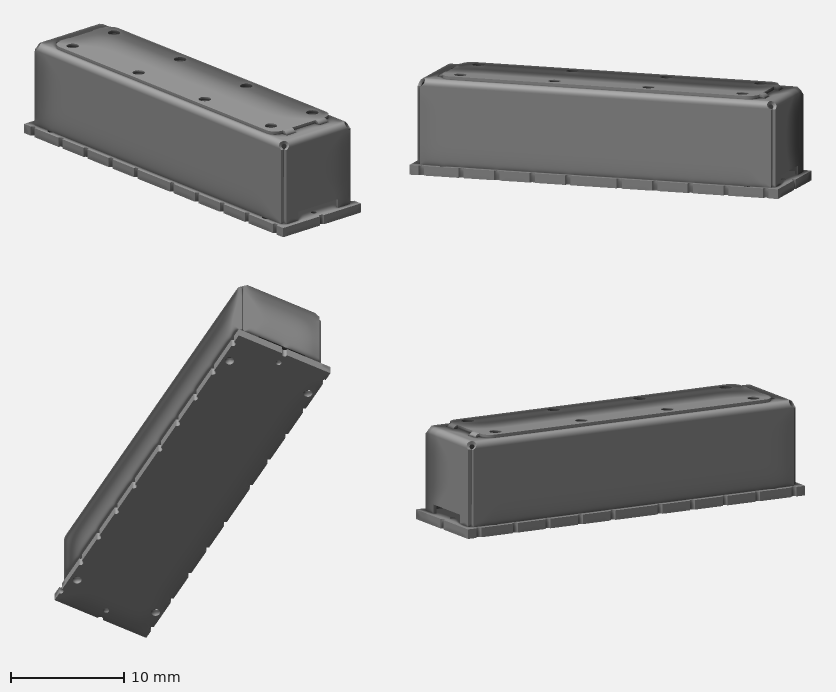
import cadquery as cq
import math

total_height = 8.87

board_length = 34.5
board_width = 9.2
board_thickness = 0.87
notch_diameter = 0.5
notch_pitch = 10 / 3
first_notch_x = 2.4
notches_per_row_half = 4
corner_notch_x = 16.12
side_hole_diameter = 0.8
side_hole_x = 14.27
side_hole_y = 3.94
end_hole_diameter = 0.5
end_hole_x = 16.15

sheet = 0.3
cover_length = 33.5
cover_width = 8.2
bend_radius = 0.6
corner_gap = 0.03
relief_slope = 1.05
window_width = 4.7
window_height = 0.83

plate_length = 29.6
plate_width = 7.0
plate_corner_radius = 1.0
plate_hole_diameter = 1.1
plate_hole_pitch_x = 8.8
plate_hole_pitch_y = 4.9
plate_hole_columns = 4
plate_hole_rows = 2
tab_width = 1.05
tab_y = 1.92
tab_bend_radius = 0.5
slot_clearance = 0.08

cover_top = total_height - sheet
inner_length = cover_length - 2 * sheet
inner_width = cover_width - 2 * sheet
plate_end = plate_length / 2
tab_outer_x = plate_end + tab_bend_radius
tab_bottom = cover_top - sheet

both_sides = (-1, 1)
corners = [(sx, sy) for sx in both_sides for sy in both_sides]


def cylinders(diameter, points, bottom, height):
    """Vertical cylinders at the given XY points."""
    return cq.Workplane("XY", origin=(0, 0, bottom)).pushPoints(points).circle(diameter / 2).extrude(height)


def make_board():
    board = cq.Workplane("XY").box(board_length, board_width, board_thickness, centered=(True, True, False))

    row = [first_notch_x + i * notch_pitch for i in range(notches_per_row_half)] + [corner_notch_x]
    notch_points = [(sx * x, sy * board_width / 2) for x in row for sx, sy in corners]
    notch_points += [(sx * board_length / 2, 0) for sx in both_sides]
    board = board.cut(cylinders(notch_diameter, notch_points, 0, board_thickness))

    side_points = [(sx * side_hole_x, sy * side_hole_y) for sx, sy in corners]
    board = board.cut(cylinders(side_hole_diameter, side_points, 0, board_thickness))

    end_points = [(sx * end_hole_x, 0) for sx in both_sides]
    return board.cut(cylinders(end_hole_diameter, end_points, 0, board_thickness))


def folded_wall(reach, length):
    """Wall at +X with its bend, ending where the flat top begins; length runs along Y."""
    bend_start = reach - bend_radius
    bend_bottom = cover_top - bend_radius
    inner_radius = bend_radius - sheet
    mid = math.sqrt(0.5)
    return (
        cq.Workplane("XZ", origin=(0, length / 2, 0))
        .moveTo(reach, board_thickness)
        .lineTo(reach, bend_bottom)
        .threePointArc(
            (bend_start + bend_radius * mid, bend_bottom + bend_radius * mid),
            (bend_start, cover_top),
        )
        .lineTo(bend_start, cover_top - sheet)
        .threePointArc(
            (bend_start + inner_radius * mid, bend_bottom + inner_radius * mid),
            (reach - sheet, bend_bottom),
        )
        .lineTo(reach - sheet, board_thickness)
        .close()
        .extrude(length)
    )


def corner_relief(sx, sy):
    """Cone along the corner diagonal, opening outward from the point where two bend axes cross."""
    height = 2 * bend_radius
    apex = cq.Vector(
        sx * (cover_length / 2 - bend_radius),
        sy * (cover_width / 2 - bend_radius),
        cover_top - bend_radius,
    )
    return cq.Solid.makeCone(0, relief_slope * height, height, apex, cq.Vector(sx, sy, 1))


def make_cover():
    cover = cq.Workplane("XY", origin=(0, 0, cover_top - sheet)).box(
        cover_length - 2 * bend_radius,
        cover_width - 2 * bend_radius,
        sheet,
        centered=(True, True, False),
    )
    end_wall = folded_wall(cover_length / 2, inner_width - 2 * corner_gap)
    side_wall = folded_wall(cover_width / 2, inner_length - 2 * corner_gap)
    for turn in (0, 180):
        cover = cover.union(end_wall.rotate((0, 0, 0), (0, 0, 1), turn))
        cover = cover.union(side_wall.rotate((0, 0, 0), (0, 0, 1), turn + 90))
    for sx, sy in corners:
        cover = cover.cut(cq.Workplane(obj=corner_relief(sx, sy)))

    window = cq.Workplane("XY", origin=(0, 0, board_thickness)).box(
        2 * cover_length, window_width, window_height, centered=(True, True, False)
    )
    cover = cover.cut(window)

    slot_length = tab_bend_radius + slot_clearance
    slots = (
        cq.Workplane("XY", origin=(0, 0, cover_top - sheet))
        .pushPoints([(sx * (plate_end + slot_length / 2), sy * tab_y) for sx, sy in corners])
        .rect(slot_length, tab_width + 2 * slot_clearance)
        .extrude(sheet)
    )
    return cover.cut(slots)


def make_tab():
    """Tab at the +X end: a quarter bend and a short leg, centred on Y = 0."""
    bend_z = total_height - tab_bend_radius
    inner_radius = tab_bend_radius - sheet
    mid = math.sqrt(0.5)
    return (
        cq.Workplane("XZ", origin=(0, tab_width / 2, 0))
        .moveTo(plate_end, total_height)
        .threePointArc(
            (plate_end + tab_bend_radius * mid, bend_z + tab_bend_radius * mid),
            (tab_outer_x, bend_z),
        )
        .lineTo(tab_outer_x, tab_bottom)
        .lineTo(tab_outer_x - sheet, tab_bottom)
        .lineTo(tab_outer_x - sheet, bend_z)
        .threePointArc(
            (plate_end + inner_radius * mid, bend_z + inner_radius * mid),
            (plate_end, cover_top),
        )
        .close()
        .extrude(tab_width)
    )


def make_label_plate():
    plate = (
        cq.Workplane("XY", origin=(0, 0, cover_top))
        .rect(plate_length, plate_width)
        .extrude(sheet)
        .edges("|Z")
        .fillet(plate_corner_radius)
    )
    tab = make_tab()
    for turn in (0, 180):
        for sy in both_sides:
            plate = plate.union(tab.translate((0, sy * tab_y, 0)).rotate((0, 0, 0), (0, 0, 1), turn))
    holes = (
        cq.Workplane("XY", origin=(0, 0, cover_top))
        .rarray(plate_hole_pitch_x, plate_hole_pitch_y, plate_hole_columns, plate_hole_rows)
        .circle(plate_hole_diameter / 2)
        .extrude(sheet)
    )
    return plate.cut(holes)


board = make_board()
cover = make_cover()
label_plate = make_label_plate()

result = cq.Compound.makeCompound([board.val(), cover.val(), label_plate.val()])